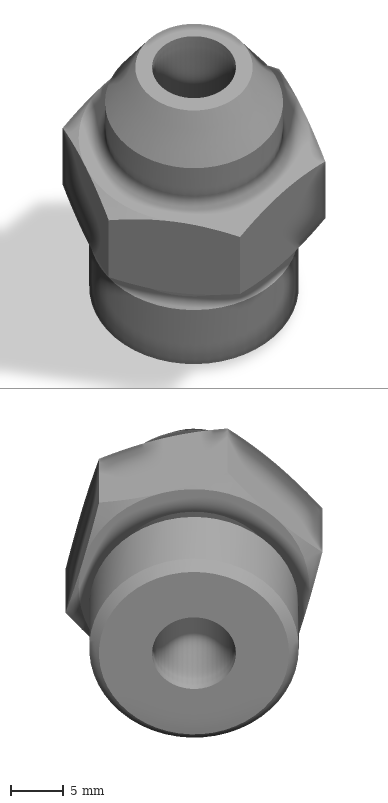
import cadquery as cq
import math

total_height = 32.0
thread_top = 9.5
hex_bottom = 12.0
hex_height = 10.0
hex_top = hex_bottom + hex_height
cone_base = 27.0

hex_across_flats = 22.0
neck_diameter = 17.0
thread_diameter = 20.0
tip_diameter = 11.2
bore_diameter = 8.0

thread_chamfer = 0.93
fillet_radius = 1.0
hex_chamfer_angle = 30.0

hex_across_corners = hex_across_flats / math.cos(math.radians(30))
hex_chamfer_width = (hex_across_corners - hex_across_flats) / 2
hex_chamfer_height = hex_chamfer_width * math.tan(math.radians(hex_chamfer_angle))


def turned_body():
    """Threaded end, neck and conical tip, revolved about Z."""
    neck = neck_diameter / 2
    thread = thread_diameter / 2
    thread_end = thread - thread_chamfer
    fillet_mid = fillet_radius * (1 - math.sqrt(0.5))
    return (
        cq.Workplane("XZ")
        .lineTo(thread_end, 0)
        .lineTo(thread, thread_chamfer)
        .lineTo(thread, thread_top - thread_chamfer)
        .lineTo(thread_end, thread_top)
        .lineTo(neck, thread_top)
        .lineTo(neck, hex_top)
        .lineTo(neck + fillet_radius, hex_top)
        .threePointArc(
            (neck + fillet_mid, hex_top + fillet_mid),
            (neck, hex_top + fillet_radius),
        )
        .lineTo(neck, cone_base)
        .lineTo(tip_diameter / 2, total_height)
        .lineTo(0, total_height)
        .close()
        .revolve(360, (0, 0, 0), (0, 1, 0))
    )


def hexagon():
    """Wrench hexagon with flats facing +X and -X and conically chamfered corners."""
    prism = (
        cq.Workplane("XY", origin=(0, 0, hex_bottom))
        .polygon(6, hex_across_corners)
        .extrude(hex_height)
        .rotate((0, 0, 0), (0, 0, 1), 30)
    )
    corner_envelope = (
        cq.Workplane("XY", origin=(0, 0, hex_bottom))
        .circle(hex_across_corners / 2)
        .extrude(hex_height)
        .faces("<Z or >Z")
        .edges()
        .chamfer(hex_chamfer_height, hex_chamfer_width)
    )
    return prism.intersect(corner_envelope)


bore = cq.Workplane("XY").circle(bore_diameter / 2).extrude(total_height)

result = turned_body().union(hexagon()).cut(bore)